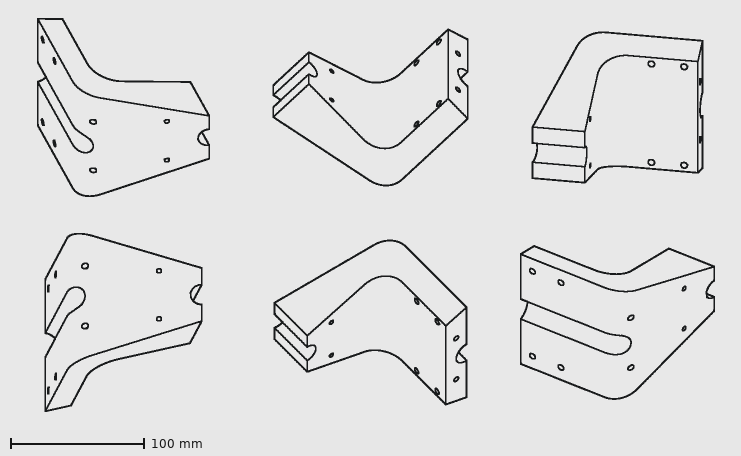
import cadquery as cq
import math

LENGTH = 113.0
DEPTH = 95.0
BASE_HEIGHT = 110.0
END_HEIGHT = 44.2
WALL = 20.0
BEND_RADIUS = WALL
ARM_INNER_X = 73.0
CORNER_X = 89.3

GROOVE_RADIUS = WALL / 2
END_NOTCH_RADIUS = 8.2

BASE_HOLE_DIAMETER = 4.9
BASE_HOLE_X = (10.5, 35.5)
BASE_HOLE_Z = 42.5
LONG_HOLE_DIAMETER = 4.4
LONG_HOLE_Z = 25.0
ARM_HOLE_DIAMETER = 3.5
ARM_HOLE_Y = 71.9
ARM_HOLE_Z = WALL

SLOPE_ANGLE = math.atan2(LENGTH - CORNER_X, DEPTH)
OUTER_NORMAL = cq.Vector(math.cos(SLOPE_ANGLE), -math.sin(SLOPE_ANGLE), 0)
X_AXIS = cq.Vector(1, 0, 0)
Y_AXIS = cq.Vector(0, 1, 0)


def rod(diameter, start, direction, length):
    """Cylinder used to cut a round hole or notch."""
    return cq.Solid.makeCylinder(diameter / 2, length, cq.Vector(*start), direction)


def bracket_body():
    """L-shaped plan with a rounded bend, extruded about the Z mid-plane."""
    plan = [
        (0, 0),
        (CORNER_X, 0),
        (LENGTH, DEPTH),
        (ARM_INNER_X, DEPTH),
        (ARM_INNER_X, WALL),
        (0, WALL),
    ]
    body = cq.Workplane("XY").polyline(plan).close().extrude(BASE_HEIGHT / 2, both=True)
    for bend_x, bend_y in ((CORNER_X, 0), (ARM_INNER_X, WALL)):
        bend = cq.selectors.NearestToPointSelector((bend_x, bend_y, 0))
        body = body.edges("|Z").edges(bend).fillet(BEND_RADIUS)
    return body


def taper_envelope():
    """Side outline that narrows in height toward the end of the arm."""
    outline = [
        (0, -BASE_HEIGHT / 2),
        (DEPTH, -END_HEIGHT / 2),
        (DEPTH, END_HEIGHT / 2),
        (0, BASE_HEIGHT / 2),
    ]
    return cq.Workplane("YZ").polyline(outline).close().extrude(LENGTH)


result = bracket_body().intersect(taper_envelope())

result = result.cut(rod(2 * GROOVE_RADIUS, (0, 0, 0), X_AXIS, LENGTH))
result = result.cut(rod(2 * END_NOTCH_RADIUS, (0, DEPTH, 0), X_AXIS, LENGTH))

for side in (-1, 1):
    for hole_x in BASE_HOLE_X:
        result = result.cut(rod(BASE_HOLE_DIAMETER, (hole_x, 0, side * BASE_HOLE_Z), Y_AXIS, WALL))

    result = result.cut(rod(LONG_HOLE_DIAMETER, (0, WALL / 2, side * LONG_HOLE_Z), X_AXIS, LENGTH))

    arm_start = cq.Vector(ARM_INNER_X, ARM_HOLE_Y, side * ARM_HOLE_Z) - OUTER_NORMAL * WALL
    result = result.cut(rod(ARM_HOLE_DIAMETER, arm_start.toTuple(), OUTER_NORMAL, LENGTH))